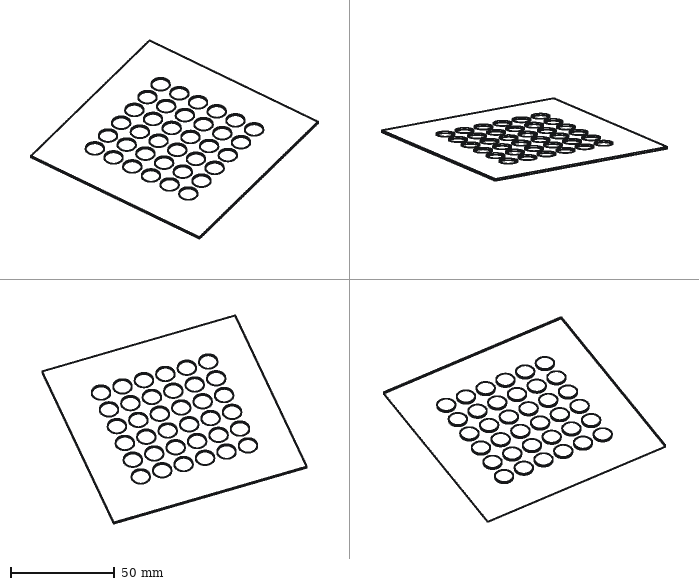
import cadquery as cq

plate_side = 100.0
plate_thickness = 1.0

hole_diameter = 9.0
holes_per_side = 6
hole_pitch = 11.1

plate = cq.Workplane("XY").box(plate_side, plate_side, plate_thickness)

result = (
    plate.faces(">Z")
    .workplane()
    .rarray(hole_pitch, hole_pitch, holes_per_side, holes_per_side)
    .hole(hole_diameter)
)